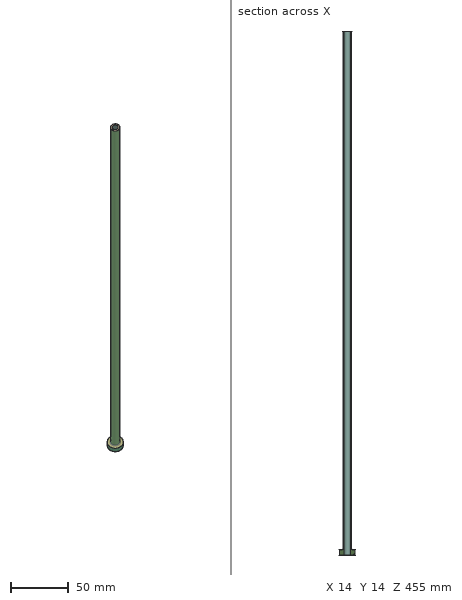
import cadquery as cq

TOTAL_LENGTH = 455.0
HEAD_DIAMETER = 14.0
HEAD_HEIGHT = 5.0
TUBE_DIAMETER = 8.0
BORE_DIAMETER = 5.0
NECK_FILLET_RADIUS = 0.5

head_radius = HEAD_DIAMETER / 2
tube_radius = TUBE_DIAMETER / 2
bore_radius = BORE_DIAMETER / 2
neck_fillet_top = HEAD_HEIGHT + NECK_FILLET_RADIUS
fillet_mid_offset = NECK_FILLET_RADIUS / 2**0.5


def make_sleeve():
    """Revolve the half section of a headed tube about the Z axis."""
    fillet_center_r = tube_radius + NECK_FILLET_RADIUS
    fillet_middle = (fillet_center_r - fillet_mid_offset, neck_fillet_top - fillet_mid_offset)
    half_section = (
        cq.Workplane("XZ")
        .moveTo(bore_radius, 0)
        .lineTo(head_radius, 0)
        .lineTo(head_radius, HEAD_HEIGHT)
        .lineTo(fillet_center_r, HEAD_HEIGHT)
        .threePointArc(fillet_middle, (tube_radius, neck_fillet_top))
        .lineTo(tube_radius, TOTAL_LENGTH)
        .lineTo(bore_radius, TOTAL_LENGTH)
        .close()
    )
    axis_start = (0, 0, 0)
    axis_end = (0, 1, 0)
    return half_section.revolve(360, axis_start, axis_end)


result = make_sleeve()